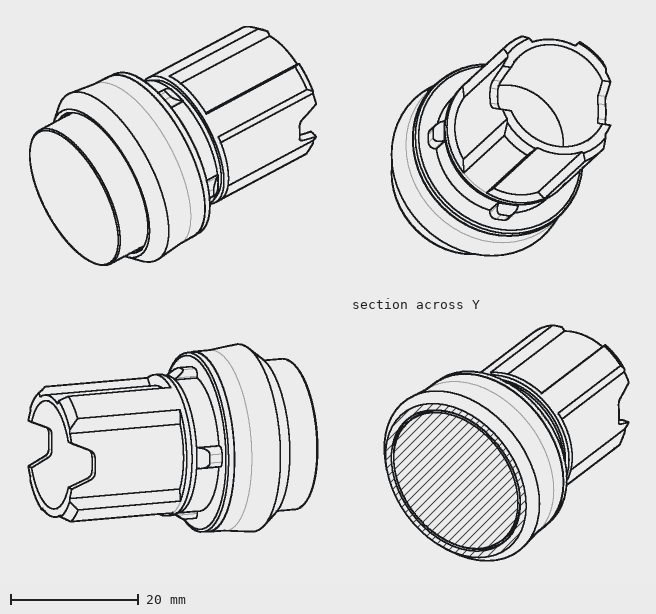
import cadquery as cq
import math

LENGTH = 40.5
FULL_TURN = 360

CAP_RADIUS = 11.85
CAP_EDGE_BREAK = 0.22
DISH_DEPTH = 0.5

BEZEL_LIP_Y = 5.2
BEZEL_LIP_RADIUS = 12.85
FUNNEL_DEPTH = 0.15
FUNNEL_RADIUS = 12.2
CAP_GAP_DEPTH = 1.2
BEZEL_RIM_Y = 7.54
BEZEL_RIM_RADIUS = 29.49 / 2
BEZEL_BAND_Y = 12.2
BEZEL_BAND_RADIUS = 14.2
BEZEL_REAR_Y = 15.05
BEZEL_REAR_RADIUS = 14.17

RING_RADIUS = 14.1
RING_REAR_Y = 16.3
RING_CHAMFER_LENGTH = 0.25
RING_CHAMFER_HEIGHT = 0.45

NECK_RADIUS = 10.8
NECK_REAR_Y = 20.06
NECK_CONE_END_RADIUS = 10.4
KEY_RADIUS = 12.0
KEY_HALF_WIDTH = 1.65
KEY_CORNER_RADIUS = 1.0
KEY_BEVEL_Y = 18.35
KEY_ANGLES = (0, 90, 180, 270)

FLANGE_Y = 21.0
FLANGE_REAR_Y = 21.9
FLANGE_RADIUS = 11.1

SHAFT_RADIUS = 9.78
TOP_GAP_RADIUS = 9.4
LUG_RADIUS = FLANGE_RADIUS
LUG_BEVEL_LENGTH = 1.35
LUG_BEVEL_HEIGHT = 1.0
WIDE_LUG_ANGLES = (109.4, 113.5, 138.2, 148.5)
NARROW_LUG_ANGLES = (33.0, 40.5, 61.4, 64.3)
PAIR_TURNS = (0, 180)
GAP_RADII = (TOP_GAP_RADIUS, SHAFT_RADIUS, SHAFT_RADIUS, SHAFT_RADIUS)

BORE_RADIUS = 8.5

NOTCH_DEPTH = 3.7
NOTCH_MOUTH_HALF_WIDTH = 3.65
NOTCH_FLOOR_HALF_WIDTH = 2.05
NOTCH_CORNER_RADIUS = 1.2


def revolve_profile(points):
    """Solid of revolution about Y from (radius, y) points."""
    return cq.Workplane("XY").polyline(points).close().revolve(FULL_TURN, (0, 0, 0), (0, 1, 0))


def polar(radius, angle):
    turn = math.radians(angle)
    return (radius * math.cos(turn), radius * math.sin(turn))


def make_turned_body():
    gap_floor_y = BEZEL_LIP_Y + CAP_GAP_DEPTH
    return revolve_profile([
        (0, 0),
        (CAP_RADIUS - CAP_EDGE_BREAK, 0),
        (CAP_RADIUS, CAP_EDGE_BREAK),
        (CAP_RADIUS, gap_floor_y),
        (FUNNEL_RADIUS, gap_floor_y),
        (FUNNEL_RADIUS, BEZEL_LIP_Y + FUNNEL_DEPTH),
        (BEZEL_LIP_RADIUS, BEZEL_LIP_Y),
        (BEZEL_RIM_RADIUS, BEZEL_RIM_Y),
        (BEZEL_BAND_RADIUS, BEZEL_BAND_Y),
        (BEZEL_REAR_RADIUS, BEZEL_REAR_Y),
        (RING_RADIUS, BEZEL_REAR_Y),
        (RING_RADIUS, RING_REAR_Y - RING_CHAMFER_LENGTH),
        (RING_RADIUS - RING_CHAMFER_HEIGHT, RING_REAR_Y),
        (NECK_RADIUS, RING_REAR_Y),
        (NECK_RADIUS, NECK_REAR_Y),
        (NECK_CONE_END_RADIUS, FLANGE_Y),
        (0, FLANGE_Y),
    ])


def make_dish():
    """Spherical cap removed from the push face."""
    rim_radius = CAP_RADIUS - CAP_EDGE_BREAK
    sphere_radius = (rim_radius**2 + DISH_DEPTH**2) / (2 * DISH_DEPTH)
    half_angle = math.asin(rim_radius / sphere_radius) / 2
    arc_middle = (
        sphere_radius * math.sin(half_angle),
        DISH_DEPTH - sphere_radius * (1 - math.cos(half_angle)),
    )
    return (
        cq.Workplane("XY")
        .lineTo(rim_radius, 0)
        .threePointArc(arc_middle, (0, DISH_DEPTH))
        .close()
        .revolve(FULL_TURN, (0, 0, 0), (0, 1, 0))
    )


def make_key(angle):
    """Round-cornered key on the neck, its rear end bevelled down to the neck surface."""
    key = (
        cq.Workplane("XY")
        .box(KEY_RADIUS, NECK_REAR_Y - BEZEL_REAR_Y, 2 * KEY_HALF_WIDTH, centered=(False, False, True))
        .translate((0, BEZEL_REAR_Y, 0))
        .edges("|Y and >X")
        .fillet(KEY_CORNER_RADIUS)
    )
    side_outline = (
        cq.Workplane("XY", origin=(0, 0, -KEY_HALF_WIDTH))
        .polyline([
            (0, BEZEL_REAR_Y),
            (KEY_RADIUS, BEZEL_REAR_Y),
            (KEY_RADIUS, KEY_BEVEL_Y),
            (NECK_RADIUS, NECK_REAR_Y),
            (0, NECK_REAR_Y),
        ])
        .close()
        .extrude(2 * KEY_HALF_WIDTH)
    )
    return key.intersect(side_outline).rotate((0, 0, 0), (0, 1, 0), angle)


def add_arc(outline, radius, start_angle, end_angle):
    """Continue an outline along an arc about the axis."""
    middle = polar(radius, (start_angle + end_angle) / 2)
    return outline.threePointArc(middle, polar(radius, end_angle))


def make_shaft():
    """Shaft whose section alternates between the base circle and the raised lugs."""
    lugs = [
        [angle + turn for angle in lug_angles]
        for turn in PAIR_TURNS
        for lug_angles in (NARROW_LUG_ANGLES, WIDE_LUG_ANGLES)
    ]
    next_feet = [lug[0] for lug in lugs[1:]] + [lugs[0][0] + FULL_TURN]

    section = cq.Workplane("XZ", origin=(0, FLANGE_REAR_Y, 0)).moveTo(*polar(GAP_RADII[-1], lugs[0][0]))
    for lug, gap_radius, next_foot in zip(lugs, GAP_RADII, next_feet):
        first_crest, last_crest, last_foot = lug[1:]
        section = section.lineTo(*polar(LUG_RADIUS, first_crest))
        section = add_arc(section, LUG_RADIUS, first_crest, last_crest)
        section = section.lineTo(*polar(gap_radius, last_foot))
        section = add_arc(section, gap_radius, last_foot, next_foot)
    return section.close().extrude(FLANGE_REAR_Y - LENGTH)


def make_flange():
    return (
        cq.Workplane("XZ", origin=(0, FLANGE_Y, 0))
        .circle(FLANGE_RADIUS)
        .extrude(FLANGE_Y - FLANGE_REAR_Y)
    )


def make_lug_bevel():
    """Conical cutter that bevels the rear ends of the lugs."""
    slope = LUG_BEVEL_HEIGHT / LUG_BEVEL_LENGTH
    outer_radius = LUG_RADIUS + LUG_BEVEL_HEIGHT
    return revolve_profile([
        (LUG_RADIUS - LUG_BEVEL_HEIGHT, LENGTH),
        (outer_radius, LENGTH),
        (outer_radius, LENGTH - (outer_radius - LUG_RADIUS + LUG_BEVEL_HEIGHT) / slope),
    ])


def make_bore():
    return (
        cq.Workplane("XZ", origin=(0, FLANGE_REAR_Y, 0))
        .circle(BORE_RADIUS)
        .extrude(FLANGE_REAR_Y - LENGTH)
    )


def make_notch():
    """Flared cutter through the rear end along X, with rounded floor corners."""
    floor_y = LENGTH - NOTCH_DEPTH
    return (
        cq.Workplane("YZ", origin=(-LUG_RADIUS, 0, 0))
        .polyline([
            (LENGTH, -NOTCH_MOUTH_HALF_WIDTH),
            (floor_y, -NOTCH_FLOOR_HALF_WIDTH),
            (floor_y, NOTCH_FLOOR_HALF_WIDTH),
            (LENGTH, NOTCH_MOUTH_HALF_WIDTH),
        ])
        .close()
        .extrude(2 * LUG_RADIUS)
        .edges("|X and <Y")
        .fillet(NOTCH_CORNER_RADIUS)
    )


body = make_turned_body().cut(make_dish())
for key_angle in KEY_ANGLES:
    body = body.union(make_key(key_angle))

shaft = make_shaft().cut(make_bore()).cut(make_lug_bevel()).cut(make_notch())
shaft = shaft.union(make_flange())
result = body.union(shaft)